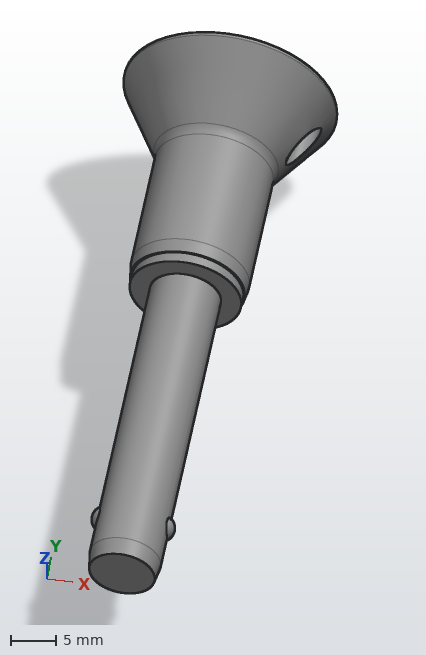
import cadquery as cq
import math


total_length = 65.7
handle_length = 27.45
shank_length = total_length - handle_length

rim_radius = 24.0 / 2
rim_round = 0.4
flare_angle = math.radians(30)
grip_radius = 13.35 / 2
neck_blend_radius = 2.5
neck_blend_start = 17.2

nose_radius = 12.55 / 2
nose_length = 1.25
nose_taper_length = 1.6
nose_taper_radius = 6.45

shank_radius = 4.0
tip_radius = 3.7
tip_chamfer_length = 2.0

ball_radius = 1.5
ball_reach = 4.65
ball_from_tip = 6.8

lanyard_hole_radius = 1.5
lanyard_hole_offset = 9.1


def neck_blend_point(angle):
    """Point (radius, y) on the concave neck arc, turned from the grip wall."""
    radius = grip_radius + neck_blend_radius * (1 - math.cos(angle))
    y = neck_blend_start + neck_blend_radius * math.sin(angle)
    return radius, y


def rim_point(angle):
    """Point (radius, y) on the rim round, measured from the outward direction."""
    radius = rim_radius - rim_round + rim_round * math.cos(angle)
    y = handle_length - rim_round + rim_round * math.sin(angle)
    return radius, y


def make_body():
    """Revolve the shank, grip and flared head as one profile."""
    taper_start = nose_length + nose_taper_length
    profile = (
        cq.Workplane("XY")
        .moveTo(0, -shank_length)
        .lineTo(tip_radius, -shank_length)
        .lineTo(shank_radius, -shank_length + tip_chamfer_length)
        .lineTo(shank_radius, 0)
        .lineTo(nose_radius, 0)
        .lineTo(nose_radius, nose_length)
        .lineTo(nose_taper_radius, nose_length)
        .lineTo(grip_radius, taper_start)
        .lineTo(*neck_blend_point(0))
        .threePointArc(neck_blend_point(flare_angle / 2), neck_blend_point(flare_angle))
        .lineTo(*rim_point(-flare_angle))
        .threePointArc(rim_point(flare_angle), rim_point(math.pi / 2))
        .lineTo(0, handle_length)
        .close()
    )
    return profile.revolve(360, (0, 0, 0), (0, 1, 0))


def make_ball(side):
    """Locking ball partly sunk in the shank; side is -1 or +1 along X."""
    center_x = side * (ball_reach - ball_radius)
    center_y = -shank_length + ball_from_tip
    return cq.Workplane("XY").sphere(ball_radius).translate((center_x, center_y, 0))


def make_lanyard_hole():
    """Cylinder that cuts the flare from the shoulder plane to the end face."""
    return (
        cq.Workplane("XZ")
        .center(lanyard_hole_offset, 0)
        .circle(lanyard_hole_radius)
        .extrude(-handle_length)
    )


result = make_body().cut(make_lanyard_hole())
for side in (-1, 1):
    result = result.union(make_ball(side))